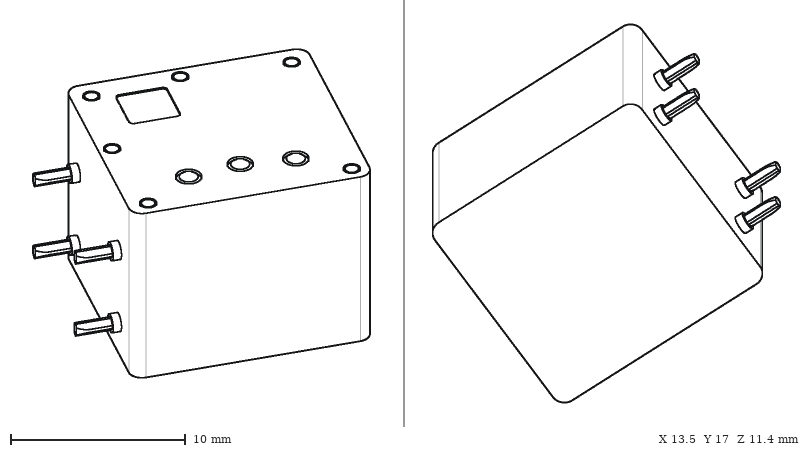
import cadquery as cq
import math

total_length = 17.0
body_width = 13.5
body_height = 11.4
pin_length = 2.6
body_length = total_length - pin_length
corner_radius = 0.8

pin_columns_x = (-4.2, 4.0)
pin_bottom_z = 2.21
pin_row_spacing = 5.0
collar_diameter = 1.1
collar_length = 0.5
pin_width = 0.78
pin_thickness = 0.82
pin_chamfer = 0.3
tip_width = 0.5
tip_taper_length = 0.82

stud_centers = ((3.9, 3.42), (3.52, 0.2), (3.9, -3.0))
well_diameter = 1.5
stud_top_diameter = 1.09
well_depth = (well_diameter - stud_top_diameter) / 2

mark_centers = (
    (-5.52, 5.98),
    (5.8, 6.19),
    (-5.95, -0.55),
    (-5.52, -5.98),
    (-0.08, -6.38),
    (5.8, -5.98),
)
mark_diameter = 0.97
mark_disc_diameter = 0.78
mark_depth = 0.08

recess_center = (-3.67, -3.15)
recess_size = 3.05
recess_corner_radius = 0.25
recess_depth = 0.1


def make_body():
    block = cq.Workplane("XY").box(body_width, body_length, body_height, centered=(True, True, False))
    return block.edges("|Z").fillet(corner_radius)


def make_conical_groove(center, outer_diameter, inner_diameter, depth):
    """Groove with a straight outer wall and a conical inner wall that meets it at the bottom."""
    outer_radius = outer_diameter / 2
    inner_radius = inner_diameter / 2
    profile = [
        (inner_radius, body_height),
        (outer_radius, body_height),
        (outer_radius, body_height - depth),
    ]
    groove = cq.Workplane("XZ").polyline(profile).close().revolve(360, (0, 0), (0, 1))
    return groove.translate((center[0], center[1], 0))


def make_recess():
    recess = cq.Workplane("XY").rect(recess_size, recess_size).extrude(recess_depth)
    recess = recess.edges("|Z").fillet(recess_corner_radius)
    return recess.translate((recess_center[0], recess_center[1], body_height - recess_depth))


def make_pin():
    """Pin pointing along -Y from the origin, with its two sides curving in towards the tip."""
    half_width = pin_width / 2
    tip_half = tip_width / 2
    taper_start = pin_length - tip_taper_length

    collar = cq.Workplane("XZ").circle(collar_diameter / 2).extrude(collar_length)
    shank = cq.Workplane("XZ").rect(pin_width, pin_thickness).extrude(pin_length)
    shank = shank.edges("|Y").chamfer(pin_chamfer)

    tip_inset = half_width - tip_half
    side_radius = (tip_taper_length**2 + tip_inset**2) / (2 * tip_inset)
    middle_angle = math.asin(tip_taper_length / side_radius) / 2
    arc_middle_x = half_width - side_radius * (1 - math.cos(middle_angle))
    arc_middle_y = -taper_start - side_radius * math.sin(middle_angle)
    plan = (
        cq.Workplane("XY", origin=(0, 0, -pin_thickness / 2))
        .moveTo(-half_width, 0)
        .lineTo(half_width, 0)
        .lineTo(half_width, -taper_start)
        .threePointArc((arc_middle_x, arc_middle_y), (tip_half, -pin_length))
        .lineTo(-tip_half, -pin_length)
        .threePointArc((-arc_middle_x, arc_middle_y), (-half_width, -taper_start))
        .close()
        .extrude(pin_thickness)
    )
    return collar.union(shank.intersect(plan))


result = make_body()

for stud_center in stud_centers:
    result = result.cut(make_conical_groove(stud_center, well_diameter, stud_top_diameter, well_depth))

for mark_center in mark_centers:
    result = result.cut(make_conical_groove(mark_center, mark_diameter, mark_disc_diameter, mark_depth))

result = result.cut(make_recess())

pin = make_pin()
for pin_x in pin_columns_x:
    for pin_z in (pin_bottom_z, pin_bottom_z + pin_row_spacing):
        result = result.union(pin.translate((pin_x, -body_length / 2, pin_z)))